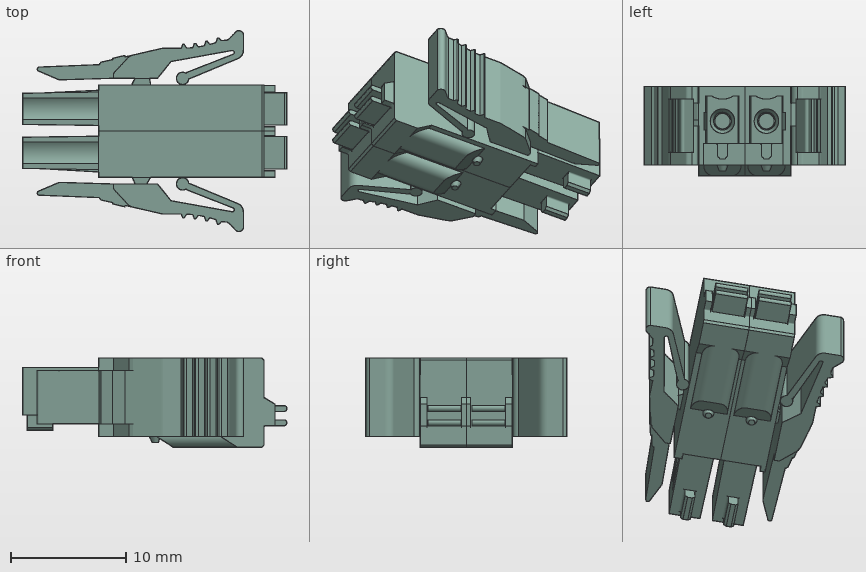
import cadquery as cq
import math


HOUSING_LENGTH = 14.33
HOUSING_WIDTH = 4.005
HOUSING_HEIGHT = 6.83
BASE_DROP = 0.92
BASE_FRONT_X = 10.6
SLOPE_RUN = 1.42
REAR_EDGE_CHAMFER = 0.2

NOZZLE_BOTTOM = 1.87
RECESS_DEPTH = 0.5

NOZZLE_LENGTH = 6.59
NOZZLE_TOP = 6.0
NOZZLE_TIP_HALF = 1.36
NOZZLE_ROOT_HALF = 1.45
GROOVE_HALF = 0.94
GROOVE_DEPTH = 0.28
GROOVE_RADIUS = (GROOVE_HALF**2 + GROOVE_DEPTH**2) / (2 * GROOVE_DEPTH)

HOLE_Z = 3.82
MOUTH_RADIUS = 1.06
THROAT_RADIUS = 0.77
BORE_RADIUS = 0.67
MOUTH_DEPTH = 0.75
BORE_DEPTH = 4.0

KEY_FRONT_X = -6.2
KEY_LENGTH = 2.23
KEY_WIDTH = 0.86
KEY_BOTTOM = 0.56
KEY_CHAMFER = 0.22
KEY_ROOT_FILLET = 0.13

WEDGE_FRONT_X = -4.9
WEDGE_ROOT_Y = 3.55
WEDGE_BOTTOM = 3.07
WEDGE_TOP = 4.57

LOBE_FRONT_X = 5.05
LOBE_HALF = 1.61
LOBE_CORNER = 0.85
PROBE_X = 4.87
PROBE_ROOT_RADIUS = 0.48
PROBE_TIP_RADIUS = 0.27
PROBE_TIP_SHIFT = 0.04
PROBE_LENGTH = 0.5

TAB_LENGTH = 0.95
TAB_BOTTOM = 0.94
TAB_TOP_OUTER = 2.83
TAB_TOP_ROOT = 3.4
TAB_FILLET = 0.13
BLADE_LENGTH = 1.98
BLADE_WIDTH = 2.83
BLADE_THICKNESS = 0.52
BLADE_CENTRES_Z = (1.21, 2.44)
BLADE_TIP_BULGE = 0.19

TIP_BOTTOM = 1.12
TIP_TOP = 5.72
LEVER_INNER_Y = 4.57
LEVER_OUTER_Y = 7.19
BODY_START_X = 1.3
BACK_START = (2.98, 6.6)
BACK_END = (5.45, 7.17)
RAMP_START = (5.1, LEVER_INNER_Y)
RAMP_END = (6.27, 6.02)
GRIP_START_X = 7.13
GRIP_RADIUS = 9.6
TOOTH_FIRST_X = 7.35
TOOTH_PITCH = 1.0
TOOTH_COUNT = 4
TOOTH_FRONT = 0.2
TOOTH_REAR = 0.28
TOOTH_CREST_HALF = 0.06
TOOTH_HEIGHT = 0.34
GRIP_END_X = TOOTH_FIRST_X + (TOOTH_COUNT - 1) * TOOTH_PITCH + TOOTH_REAR
BODY_FRONT_CORNER_Y = 4.91
BODY_FRONT_CORNER = (1.38, 5.11)
BODY_FRONT_RAMP_END = (2.61, 6.43)
BACK_BEND_END_X = 5.6
HOOK_FOOT = (11.15, 7.89)
HOOK_RAMP_START = (11.35, 8.04)
HOOK_RAMP_END = (11.88, 8.6)
HOOK_CREST_X = 12.14
LEVER_END_X = 12.55
LEVER_END_Y = 8.71
LEVER_END_TOP = 8.4
LEVER_END_BOTTOM = 7.02
ARM_OUTER_START = (12.03, 6.26)
ARM_OUTER_END = (7.85, 4.52)
ARM_INNER_START = (7.65, 5.1)
ARM_INNER_END = (11.58, 6.64)
SLOT_END_X = 11.74
SLOT_TOP = (11.58, 6.98)

NOSE_HEEL = (-3.42, 4.43)
NOSE_TIP_INNER = (-5.22, 5.2)
NOSE_TIP_OUTER = (-5.14, 5.56)
NOSE_STEP_1_FOOT = (0.04, 5.77)
NOSE_STEP_1_TOP = (0.2, 5.98)
NOSE_STEP_2_X = 1.2
NOSE_STEP_2_FOOT_Y = 6.2
NOSE_STEP_2_TOP_Y = 6.31
NOSE_STEP_3_X = 2.29
NOSE_STEP_3_TOP_Y = 6.57

BALL_X = 7.27
BALL_Y = 4.57
BALL_RADIUS = 0.54
PIVOT_BOTTOM = 3.38
PIVOT_TOP = 5.38
PIVOT_FRONT_ROOT_X = 2.9
PIVOT_FRONT_OUTER_X = 3.15
PIVOT_REAR_ROOT_X = 4.5
PIVOT_REAR_OUTER_X = 4.18
PAD_BOTTOM = 3.93
PAD_LEAD = 0.04
PAD_ROOT_WIDTH = 0.13
PAD_REAR_OUTER_X = 4.42

JOIN = 0.3


def box(x_range, y_range, z_range):
    """Block between the given limits."""
    size = [high - low for low, high in (x_range, y_range, z_range)]
    corner = (x_range[0], y_range[0], z_range[0])
    return cq.Workplane("XY").box(*size, centered=False).translate(corner)


def side_prism(points, y_start, y_end):
    """Prism of an XZ outline between two Y positions."""
    return cq.Workplane("XZ", origin=(0, y_end, 0)).polyline(points).close().extrude(y_end - y_start)


def plan_prism(points, z_start, z_end):
    """Prism of an XY outline between two heights."""
    return cq.Workplane("XY", origin=(0, 0, z_start)).polyline(points).close().extrude(z_end - z_start)


def make_housing(recess_outer_y):
    """Housing block with its sloped rear base and the recess in its front face."""
    rear_top = HOUSING_HEIGHT - REAR_EDGE_CHAMFER
    profile = [
        (0, 0),
        (BASE_FRONT_X, 0),
        (BASE_FRONT_X + SLOPE_RUN, -BASE_DROP),
        (HOUSING_LENGTH - REAR_EDGE_CHAMFER, -BASE_DROP),
        (HOUSING_LENGTH, REAR_EDGE_CHAMFER - BASE_DROP),
        (HOUSING_LENGTH, rear_top),
        (HOUSING_LENGTH - REAR_EDGE_CHAMFER, HOUSING_HEIGHT),
        (0, HOUSING_HEIGHT),
    ]
    recess = box((0, RECESS_DEPTH), (0, recess_outer_y), (0, NOZZLE_BOTTOM))
    return side_prism(profile, 0, HOUSING_WIDTH).cut(recess)


def make_nozzle(centre_y):
    """Tapered nozzle with its top groove, coding key, side wedge and contact hole."""
    height = NOZZLE_TOP - NOZZLE_BOTTOM
    mid_z = (NOZZLE_TOP + NOZZLE_BOTTOM) / 2
    nozzle = (
        cq.Workplane("YZ", origin=(-NOZZLE_LENGTH, centre_y, mid_z))
        .rect(2 * NOZZLE_TIP_HALF, height)
        .workplane(offset=NOZZLE_LENGTH)
        .rect(2 * NOZZLE_ROOT_HALF, height)
        .loft(ruled=True)
    )
    groove = (
        cq.Workplane("YZ", origin=(-NOZZLE_LENGTH, centre_y, NOZZLE_TOP - GROOVE_DEPTH + GROOVE_RADIUS))
        .circle(GROOVE_RADIUS)
        .extrude(NOZZLE_LENGTH)
    )
    taper = (NOZZLE_ROOT_HALF - NOZZLE_TIP_HALF) / NOZZLE_LENGTH
    wall_half = NOZZLE_ROOT_HALF + taper * WEDGE_FRONT_X
    wedge = plan_prism(
        [
            (WEDGE_FRONT_X, centre_y),
            (WEDGE_FRONT_X, centre_y + wall_half),
            (0, WEDGE_ROOT_Y),
            (0, centre_y),
        ],
        WEDGE_BOTTOM,
        WEDGE_TOP,
    )
    hole = (
        cq.Workplane("XY", origin=(-NOZZLE_LENGTH, centre_y, HOLE_Z))
        .polyline([
            (0, 0),
            (0, MOUTH_RADIUS),
            (MOUTH_DEPTH, THROAT_RADIUS),
            (MOUTH_DEPTH, BORE_RADIUS),
            (BORE_DEPTH, BORE_RADIUS),
            (BORE_DEPTH, 0),
        ])
        .close()
        .revolve(360, (0, 0, 0), (1, 0, 0))
    )
    return nozzle.cut(groove).union(wedge).union(make_key(centre_y)).cut(hole)


def make_key(centre_y):
    """Coding key: chamfered along the bottom and flared into the nozzle at the top."""
    half = KEY_WIDTH / 2
    fillet = KEY_ROOT_FILLET
    return (
        cq.Workplane("YZ", origin=(KEY_FRONT_X, centre_y, 0))
        .moveTo(-half + KEY_CHAMFER, KEY_BOTTOM)
        .lineTo(half - KEY_CHAMFER, KEY_BOTTOM)
        .lineTo(half, KEY_BOTTOM + KEY_CHAMFER)
        .lineTo(half, NOZZLE_BOTTOM - fillet)
        .radiusArc((half + fillet, NOZZLE_BOTTOM), fillet)
        .lineTo(-half - fillet, NOZZLE_BOTTOM)
        .radiusArc((-half, NOZZLE_BOTTOM - fillet), fillet)
        .lineTo(-half, KEY_BOTTOM + KEY_CHAMFER)
        .close()
        .extrude(KEY_LENGTH)
    )


def make_underside(centre_y):
    """Round-cornered lobe with a sloped front, and the probe cone ahead of it."""
    hidden_start_x = LOBE_FRONT_X - JOIN * SLOPE_RUN / BASE_DROP
    rear_x = BASE_FRONT_X + SLOPE_RUN
    section = (
        cq.Workplane("YZ", origin=(hidden_start_x, centre_y, 0))
        .rect(2 * LOBE_HALF, 2 * BASE_DROP)
        .extrude(rear_x - hidden_start_x)
        .edges("|X and <Z")
        .fillet(LOBE_CORNER)
    )
    side = side_prism(
        [
            (hidden_start_x, JOIN),
            (LOBE_FRONT_X + SLOPE_RUN, -BASE_DROP),
            (rear_x, -BASE_DROP),
            (rear_x, JOIN),
        ],
        0,
        HOUSING_WIDTH,
    )
    probe = (
        cq.Workplane("XY", origin=(PROBE_X, centre_y, 0))
        .circle(PROBE_ROOT_RADIUS)
        .workplane(offset=-PROBE_LENGTH)
        .center(PROBE_TIP_SHIFT, 0)
        .circle(PROBE_TIP_RADIUS)
        .loft()
    )
    return section.intersect(side).union(probe)


def make_tab(y_range):
    """Rear tab with a sloped top and a fillet below it."""
    root_x = HOUSING_LENGTH - JOIN
    end_x = HOUSING_LENGTH + TAB_LENGTH
    return (
        cq.Workplane("XZ", origin=(0, y_range[1], 0))
        .moveTo(root_x, TAB_TOP_ROOT)
        .lineTo(HOUSING_LENGTH, TAB_TOP_ROOT)
        .lineTo(end_x, TAB_TOP_OUTER)
        .lineTo(end_x, TAB_BOTTOM)
        .lineTo(HOUSING_LENGTH + TAB_FILLET, TAB_BOTTOM)
        .radiusArc((HOUSING_LENGTH, TAB_BOTTOM - TAB_FILLET), -TAB_FILLET)
        .lineTo(root_x, TAB_BOTTOM - TAB_FILLET)
        .close()
        .extrude(y_range[1] - y_range[0])
    )


def make_blade(centre_y, centre_z):
    """Flat contact blade with a rounded end."""
    root_x = HOUSING_LENGTH - JOIN
    end_x = HOUSING_LENGTH + BLADE_LENGTH
    half = BLADE_THICKNESS / 2
    return (
        cq.Workplane("XZ", origin=(0, centre_y + BLADE_WIDTH / 2, centre_z))
        .moveTo(root_x, -half)
        .lineTo(end_x - BLADE_TIP_BULGE, -half)
        .threePointArc((end_x, 0), (end_x - BLADE_TIP_BULGE, half))
        .lineTo(root_x, half)
        .close()
        .extrude(BLADE_WIDTH)
    )


def back_y(x):
    """Sloped outer surface of the lever between its nose and its flat back."""
    rise = (BACK_END[1] - BACK_START[1]) / (BACK_END[0] - BACK_START[0])
    return BACK_START[1] + rise * (x - BACK_START[0])


def grip_y(x):
    """Outer surface of the grip: an arc that leaves the flat back of the lever tangentially."""
    return LEVER_OUTER_Y + GRIP_RADIUS - math.sqrt(GRIP_RADIUS**2 - (x - GRIP_START_X) ** 2)


def make_lever_body():
    """Full-height part of the lever: back, toothed grip, end hook and folded spring arm."""
    slot_mid_y = (ARM_INNER_END[1] + SLOT_TOP[1]) / 2
    grip_mid_x = (GRIP_START_X + GRIP_END_X) / 2
    body = (
        cq.Workplane("XY")
        .moveTo(BODY_START_X, LEVER_INNER_Y)
        .lineTo(BODY_START_X, BODY_FRONT_CORNER_Y)
        .tangentArcPoint(BODY_FRONT_CORNER, relative=False)
        .lineTo(*BODY_FRONT_RAMP_END)
        .lineTo(*BACK_START)
        .lineTo(*BACK_END)
        .lineTo(BACK_BEND_END_X, LEVER_OUTER_Y)
        .lineTo(GRIP_START_X, LEVER_OUTER_Y)
        .threePointArc((grip_mid_x, grip_y(grip_mid_x)), (GRIP_END_X, grip_y(GRIP_END_X)))
        .lineTo(*HOOK_FOOT)
        .lineTo(*HOOK_RAMP_START)
        .lineTo(*HOOK_RAMP_END)
        .tangentArcPoint((HOOK_CREST_X, LEVER_END_Y), relative=False)
        .tangentArcPoint((LEVER_END_X, LEVER_END_TOP), relative=False)
        .lineTo(LEVER_END_X, LEVER_END_BOTTOM)
        .tangentArcPoint(ARM_OUTER_START, relative=False)
        .lineTo(*ARM_OUTER_END)
        .lineTo(BALL_X, BALL_Y)
        .lineTo(*ARM_INNER_START)
        .lineTo(*ARM_INNER_END)
        .threePointArc((SLOT_END_X, slot_mid_y), SLOT_TOP)
        .lineTo(*RAMP_END)
        .lineTo(*RAMP_START)
        .close()
        .extrude(HOUSING_HEIGHT)
    )
    ball = cq.Workplane("XY").center(BALL_X, BALL_Y).circle(BALL_RADIUS).extrude(HOUSING_HEIGHT)
    body = body.union(ball)
    for index in range(TOOTH_COUNT):
        body = body.union(make_tooth(TOOTH_FIRST_X + index * TOOTH_PITCH))
    return body


def make_tooth(x):
    """Finger tooth across the full height of the grip."""
    crest_y = grip_y(x) + TOOTH_HEIGHT
    root_y = LEVER_OUTER_Y - JOIN
    return plan_prism(
        [
            (x - TOOTH_FRONT, root_y),
            (x - TOOTH_FRONT, grip_y(x - TOOTH_FRONT)),
            (x - TOOTH_CREST_HALF, crest_y),
            (x + TOOTH_CREST_HALF, crest_y),
            (x + TOOTH_REAR, grip_y(x + TOOTH_REAR)),
            (x + TOOTH_REAR, root_y),
        ],
        0,
        HOUSING_HEIGHT,
    )


def make_lever_tip():
    """Lower latching nose ahead of the lever body, with steps on its outer side."""
    return (
        cq.Workplane("XY", origin=(0, 0, TIP_BOTTOM))
        .moveTo(*NOSE_HEEL)
        .lineTo(BODY_START_X, LEVER_INNER_Y)
        .lineTo(BACK_START[0], LEVER_INNER_Y)
        .lineTo(*BACK_START)
        .lineTo(NOSE_STEP_3_X, back_y(NOSE_STEP_3_X))
        .lineTo(NOSE_STEP_3_X, NOSE_STEP_3_TOP_Y)
        .lineTo(NOSE_STEP_2_X, NOSE_STEP_2_TOP_Y)
        .lineTo(NOSE_STEP_2_X, NOSE_STEP_2_FOOT_Y)
        .lineTo(*NOSE_STEP_1_TOP)
        .lineTo(*NOSE_STEP_1_FOOT)
        .lineTo(*NOSE_TIP_OUTER)
        .tangentArcPoint(NOSE_TIP_INNER, relative=False)
        .close()
        .extrude(TIP_TOP - TIP_BOTTOM)
    )


def make_pivot():
    """Flexible web, tapered towards the lever, that joins the lever to the side of the housing."""
    return plan_prism(
        [
            (PIVOT_FRONT_ROOT_X, HOUSING_WIDTH - JOIN),
            (PIVOT_FRONT_ROOT_X, HOUSING_WIDTH),
            (PIVOT_FRONT_OUTER_X, LEVER_INNER_Y),
            (PIVOT_FRONT_OUTER_X, LEVER_INNER_Y + JOIN),
            (PIVOT_REAR_OUTER_X, LEVER_INNER_Y + JOIN),
            (PIVOT_REAR_OUTER_X, LEVER_INNER_Y),
            (PIVOT_REAR_ROOT_X, HOUSING_WIDTH),
            (PIVOT_REAR_ROOT_X, HOUSING_WIDTH - JOIN),
        ],
        PIVOT_BOTTOM,
        PIVOT_TOP,
    )


def make_pivot_pad():
    """Fuller upper section of the web, with steep root faces at both ends."""
    return plan_prism(
        [
            (PIVOT_FRONT_ROOT_X - PAD_LEAD, HOUSING_WIDTH - JOIN),
            (PIVOT_FRONT_ROOT_X - PAD_LEAD, HOUSING_WIDTH),
            (PIVOT_FRONT_ROOT_X, HOUSING_WIDTH + PAD_ROOT_WIDTH),
            (PIVOT_FRONT_OUTER_X, LEVER_INNER_Y),
            (PIVOT_FRONT_OUTER_X, LEVER_INNER_Y + JOIN),
            (PAD_REAR_OUTER_X, LEVER_INNER_Y + JOIN),
            (PAD_REAR_OUTER_X, LEVER_INNER_Y),
            (PIVOT_REAR_ROOT_X, HOUSING_WIDTH + PAD_ROOT_WIDTH),
            (PIVOT_REAR_ROOT_X, HOUSING_WIDTH - JOIN),
        ],
        PAD_BOTTOM,
        PIVOT_TOP,
    )


def make_pole(centre_y, recess_outer_y, inner_tab, outer_tab):
    """One complete pole with its lever, on the +Y side of the joint."""
    pole = make_housing(recess_outer_y)
    pole = pole.union(make_nozzle(centre_y))
    pole = pole.union(make_underside(centre_y))
    for y_range in (inner_tab, outer_tab):
        pole = pole.union(make_tab(y_range))
    for centre_z in BLADE_CENTRES_Z:
        pole = pole.union(make_blade(centre_y, centre_z))
    lever = make_lever_body().union(make_lever_tip())
    return pole.union(make_pivot()).union(lever)


left_pole = make_pole(
    centre_y=1.93,
    recess_outer_y=3.57,
    inner_tab=(0, 0.38),
    outer_tab=(3.38, 3.96),
).union(make_pivot_pad())

right_pole = make_pole(
    centre_y=1.88,
    recess_outer_y=3.3,
    inner_tab=(0, 0.41),
    outer_tab=(3.42, HOUSING_WIDTH),
).mirror("XZ")

result = cq.Compound.makeCompound([left_pole.val(), right_pole.val()])